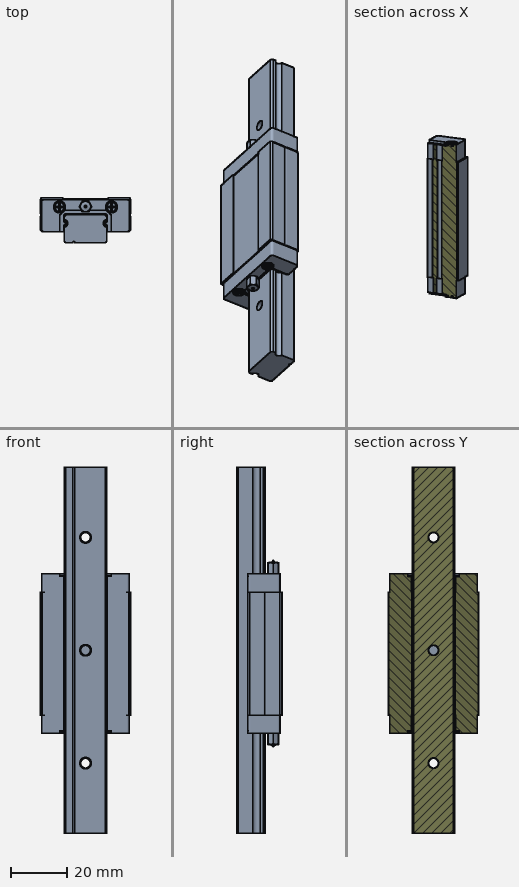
import cadquery as cq
import math

RAIL_LENGTH = 130.0
RAIL_HALF_WIDTH = 7.5
RAIL_HEIGHT = 10.0
RAIL_TOP_CHAMFER = 0.6
RAIL_BOTTOM_CHAMFER = 0.5
RACE_Y = 6.9
RACE_HALF_HEIGHT = 1.3
RACE_DEPTH = 1.2
RACE_BULGE = 0.31
MARK_X = -4.2
MARK_RADIUS = 0.4
HOLE_COUNT = 3
HOLE_PITCH = 40.0
HOLE_DIAMETER = 3.5
HOLE_CHAMFER = 0.3

CARRIAGE_CENTER_Z = -1.2
CARRIAGE_BOTTOM = 3.9
BLOCK_LENGTH = 43.7
BLOCK_HALF_WIDTH = 16.0
BLOCK_TOP = 16.0
BLOCK_BOTTOM_CHAMFER = 0.6
BLOCK_TOP_CHAMFER_X = 0.3
BLOCK_TOP_CHAMFER_Y = 0.8
RELIEF_HALF_WIDTH = 8.0
RELIEF_DEPTH = 0.4
SIDE_GROOVE_Y = 9.9
SIDE_GROOVE_HALF_WIDTH = 0.6
SIDE_GROOVE_DEPTH = 0.2
BLOCK_CLEARANCE = 0.1
BLOCK_RIB_RADIUS = 1.0

CAP_LENGTH = 6.5
CAP_HALF_WIDTH = 15.6
CAP_TOP = 15.3
CAP_FILLET = 0.9
CAP_CLEARANCE = 0.3
CAP_RIB_RADIUS = 0.6
RIM_WIDTH = 1.3
RIM_DEPTH = 0.9
RIM_CHAMFER = 1.7

SCREW_X = 9.2
SCREW_Y = 12.7
SCREW_POCKET_RADIUS = 2.1
SCREW_HEAD_RADIUS = 1.7
SCREW_POCKET_DEPTH = 0.6
CROSS_LENGTH = 2.3
CROSS_WIDTH = 0.5

NIPPLE_Y = 12.9
NIPPLE_FLATS = 3.8
NIPPLE_LENGTH = 3.9
NIPPLE_DOME_HEIGHT = 0.3
NIPPLE_TIP_RADIUS = 0.4
NIPPLE_TIP_HEIGHT = 0.5

CARRIAGE_END = BLOCK_LENGTH / 2 + CAP_LENGTH


def box(half_width, y_low, y_high, length):
    """Box centred on X = 0, standing on Z = 0."""
    middle = (y_low + y_high) / 2
    return cq.Workplane("XY").center(0, middle).rect(2 * half_width, y_high - y_low).extrude(length)


def cylinder(x, y, radius, length):
    """Cylinder along +Z, standing on Z = 0."""
    return cq.Workplane("XY").center(x, y).circle(radius).extrude(length)


def both_sides(shape):
    """A shape at +X together with its mirror image at -X."""
    return shape.union(shape.mirror("YZ"))


def at_both_ends(shape):
    """A shape above Z = 0 and its mirror image below, as a list."""
    return [shape, shape.mirror("XY")]


def make_races():
    """Cutters for the two pointed-arch ball races."""
    race = (
        cq.Workplane("XY")
        .moveTo(RAIL_HALF_WIDTH, RACE_Y - RACE_HALF_HEIGHT)
        .sagittaArc((RAIL_HALF_WIDTH - RACE_DEPTH, RACE_Y), RACE_BULGE)
        .sagittaArc((RAIL_HALF_WIDTH, RACE_Y + RACE_HALF_HEIGHT), RACE_BULGE)
        .close()
        .extrude(RAIL_LENGTH)
    )
    return both_sides(race)


def make_rail_holes():
    """Cutters for the through holes with their chamfered mouths on the underside."""
    radius = HOLE_DIAMETER / 2
    centers = cq.Workplane("XZ").rarray(1.3, HOLE_PITCH, 1, HOLE_COUNT)
    bores = centers.circle(radius).extrude(-RAIL_HEIGHT)
    mouths = centers.circle(radius + HOLE_CHAMFER).extrude(-HOLE_CHAMFER, taper=45)
    return bores.union(mouths)


def make_rail():
    rail = box(RAIL_HALF_WIDTH, 0, RAIL_HEIGHT, RAIL_LENGTH)
    rail = rail.edges("|Z and >Y").chamfer(RAIL_TOP_CHAMFER)
    rail = rail.edges("|Z and <Y").chamfer(RAIL_BOTTOM_CHAMFER)
    rail = rail.cut(make_races())
    rail = rail.cut(cylinder(MARK_X, 0, MARK_RADIUS, RAIL_LENGTH))
    return rail.translate((0, 0, -RAIL_LENGTH / 2)).cut(make_rail_holes())


def cut_opening(body, clearance, rib_radius, length):
    """Cut the rail opening and leave a rib on each side that reaches into the ball race."""
    half_width = RAIL_HALF_WIDTH + clearance
    opening = box(half_width, CARRIAGE_BOTTOM, RAIL_HEIGHT + clearance, length)
    opening = opening.edges("|Z and >Y").chamfer(RAIL_TOP_CHAMFER)
    ribs = both_sides(cylinder(half_width, RACE_Y, rib_radius, length))
    return body.cut(opening.cut(ribs))


def make_side_grooves():
    """Cutters for the V grooves along the block flanks."""
    groove = (
        cq.Workplane("XY")
        .moveTo(BLOCK_HALF_WIDTH, SIDE_GROOVE_Y - SIDE_GROOVE_HALF_WIDTH)
        .lineTo(BLOCK_HALF_WIDTH - SIDE_GROOVE_DEPTH, SIDE_GROOVE_Y)
        .lineTo(BLOCK_HALF_WIDTH, SIDE_GROOVE_Y + SIDE_GROOVE_HALF_WIDTH)
        .close()
        .extrude(BLOCK_LENGTH)
    )
    return both_sides(groove)


def make_top_chamfers():
    """Cutters for the steep chamfers along the two upper edges of the block."""
    chamfer = (
        cq.Workplane("XY")
        .moveTo(BLOCK_HALF_WIDTH, BLOCK_TOP)
        .lineTo(BLOCK_HALF_WIDTH - BLOCK_TOP_CHAMFER_X, BLOCK_TOP)
        .lineTo(BLOCK_HALF_WIDTH, BLOCK_TOP - BLOCK_TOP_CHAMFER_Y)
        .close()
        .extrude(BLOCK_LENGTH)
    )
    return both_sides(chamfer)


def make_block():
    """Central block, centred on Z = 0."""
    block = box(BLOCK_HALF_WIDTH, CARRIAGE_BOTTOM, BLOCK_TOP, BLOCK_LENGTH)
    block = block.edges("|Z and <Y").chamfer(BLOCK_BOTTOM_CHAMFER)
    block = block.cut(make_top_chamfers()).cut(make_side_grooves())
    block = block.cut(box(RELIEF_HALF_WIDTH, BLOCK_TOP - RELIEF_DEPTH, BLOCK_TOP, BLOCK_LENGTH))
    block = cut_opening(block, BLOCK_CLEARANCE, BLOCK_RIB_RADIUS, BLOCK_LENGTH)
    return block.translate((0, 0, -BLOCK_LENGTH / 2))


def make_screw_recess():
    """Ring-shaped pocket around a screw head, plus the cross recess in the head."""
    pocket = cylinder(SCREW_X, SCREW_Y, SCREW_POCKET_RADIUS, SCREW_POCKET_DEPTH)
    recess = pocket.cut(cylinder(SCREW_X, SCREW_Y, SCREW_HEAD_RADIUS, SCREW_POCKET_DEPTH))
    center = cq.Workplane("XY").center(SCREW_X, SCREW_Y)
    recess = recess.union(center.rect(CROSS_LENGTH, CROSS_WIDTH).extrude(SCREW_POCKET_DEPTH))
    return recess.union(center.rect(CROSS_WIDTH, CROSS_LENGTH).extrude(SCREW_POCKET_DEPTH))


def make_rim():
    """Cutter for the sunken rim around the rail opening."""
    half_width = RAIL_HALF_WIDTH + CAP_CLEARANCE + RIM_WIDTH
    top = RAIL_HEIGHT + CAP_CLEARANCE + RIM_WIDTH
    rim = box(half_width, CARRIAGE_BOTTOM, top, RIM_DEPTH).edges("|Z and >Y").chamfer(RIM_CHAMFER)
    ribs = both_sides(cylinder(half_width - RIM_WIDTH, RACE_Y, CAP_RIB_RADIUS, RIM_DEPTH))
    return rim.union(ribs)


def make_cap():
    """Upper end cap, placed on the end of a block centred on Z = 0."""
    cap = box(CAP_HALF_WIDTH, CARRIAGE_BOTTOM, CAP_TOP, CAP_LENGTH).edges("|Z").fillet(CAP_FILLET)
    cap = cut_opening(cap, CAP_CLEARANCE, CAP_RIB_RADIUS, CAP_LENGTH)
    cap = cap.cut(make_rim().translate((0, 0, CAP_LENGTH - RIM_DEPTH)))
    screws = both_sides(make_screw_recess())
    cap = cap.cut(screws.translate((0, 0, CAP_LENGTH - SCREW_POCKET_DEPTH)))
    return cap.translate((0, 0, BLOCK_LENGTH / 2))


def make_carriage():
    carriage = make_block()
    for cap in at_both_ends(make_cap()):
        carriage = carriage.union(cap)
    return carriage.clean().translate((0, 0, CARRIAGE_CENTER_Z))


def make_nipple():
    """Hexagonal nipple with a low dome and a pointed tip, standing on Z = 0."""
    apothem = NIPPLE_FLATS / 2
    corner_radius = apothem / math.cos(math.pi / 6)
    dome_top = NIPPLE_LENGTH + NIPPLE_DOME_HEIGHT
    hexagon = cq.Workplane("XY").polygon(6, 2 * corner_radius).extrude(dome_top + NIPPLE_TIP_HEIGHT)
    envelope = (
        cq.Workplane("XZ")
        .lineTo(corner_radius, 0)
        .lineTo(corner_radius, NIPPLE_LENGTH - (corner_radius - apothem))
        .lineTo(apothem, NIPPLE_LENGTH)
        .lineTo(NIPPLE_TIP_RADIUS, dome_top)
        .lineTo(0, dome_top + NIPPLE_TIP_HEIGHT)
        .close()
        .revolve(360, (0, 0, 0), (0, 1, 0))
    )
    return hexagon.intersect(envelope)


def make_nipples():
    nipple = make_nipple().translate((0, NIPPLE_Y, CARRIAGE_END))
    return [copy.translate((0, 0, CARRIAGE_CENTER_Z)) for copy in at_both_ends(nipple)]


rail = make_rail()
carriage = make_carriage()
nipples = make_nipples()

result = cq.Compound.makeCompound([rail.val(), carriage.val(), *[nipple.val() for nipple in nipples]])